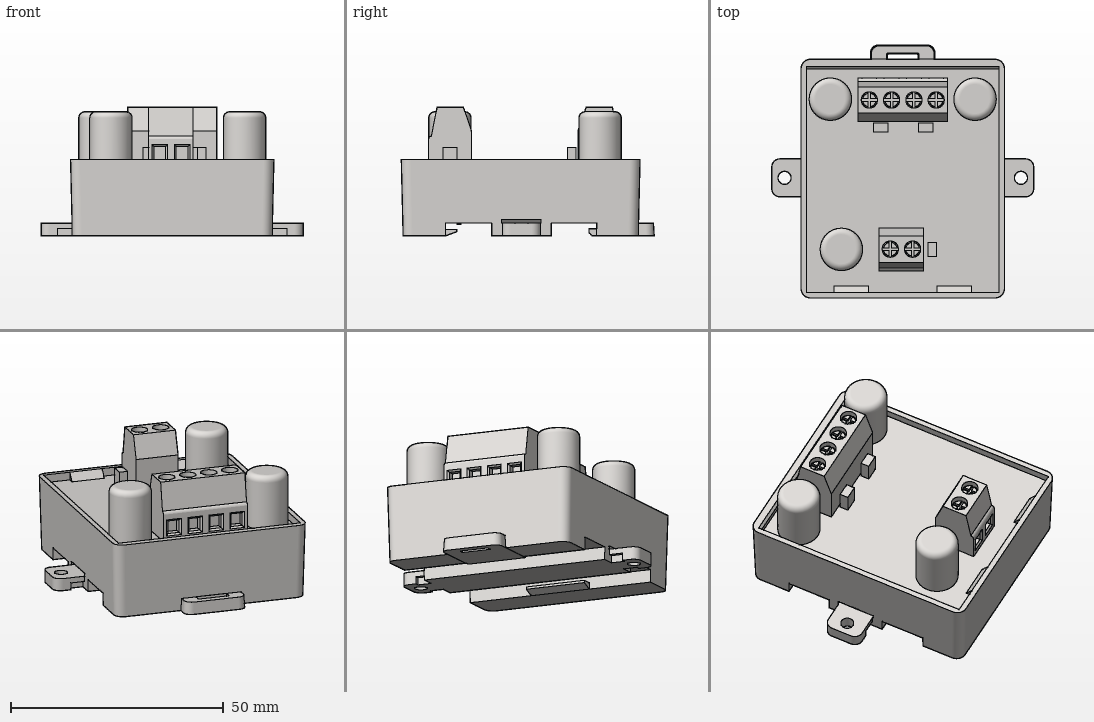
import cadquery as cq
import math

HOUSING_X = 47.0
HOUSING_Y = 55.3
HOUSING_H = 18.0
HOUSING_Y_MID = -0.2
WALL_FLARE = 0.45
CORNER_R = 2.3

RIM_WALL = 1.3
RIM_WALL_REAR = 1.7
BOARD_TOP = 16.1
BOARD_T = 1.6
REAR_BEVEL = 0.6
LUG_X = 8.1
LUG_REACH = 1.55
LUG_OFFSET = 12.1

FOOT_H = 3.0
RAIL_FRONT = -17.8
RAIL_REAR = 17.7
KEEL_HALF_Y = 7.0
HOOK_TIP_Y = -15.15
HOOK_TOP = 1.55
HOOK_NOSE = 1.0
RAIL_PAD_Y = 0.9
RAIL_PAD_H = 0.3

EAR_SPAN = 61.6
EAR_Y = 9.0
EAR_CORNER_R = 2.0
EAR_HOLE_D = 3.0
EAR_HOLE_X = 27.8
EAR_UNDERCUT_X = 26.9
EAR_UNDERCUT_H = 1.7
EAR_UNDERCUT_DEPTH = 1.2
EAR_RELIEF_Y = 9.3
EAR_RELIEF = 0.8

CLIP_X = 15.15
CLIP_END_Y = 31.25
CLIP_CORNER_R = 1.85
CLIP_DRAFT = 0.2
CLIP_SLOT_X = 7.65
CLIP_SLOT_END_Y = 29.3
CLIP_SLOT_CORNER_R = 0.4
CLIP_TOOTH_TIP_Y = 15.85
CLIP_TOOTH_TOP = 1.7
CLIP_TOOTH_BEVEL = 0.8

CAP_D = 10.0
CAP_TOP = 29.2
CAP_FILLET = 1.5
CAP_SPOTS = [(-17.0, 18.5), (17.0, 18.5), (-14.4, -16.8)]

LAMP_LONG = 3.3
LAMP_SHORT = 2.05
LAMP_TOP = 20.8
LAMP_SPOTS = [(-5.2, 11.8, 0), (5.4, 11.8, 0), (6.9, -16.8, 90)]

POLE_PITCH = 5.25
TERMINAL_Y = 10.15
TERMINAL_TOP = 30.25
BACK_SLOPE_Y = 1.9
BACK_SLOPE_FOOT = 24.7
FRONT_SLOPE_Y = 1.3
LIP = 0.75
LIP_BULGE = 0.155
LIP_FOOT = 22.7
SCREW_D = 3.8
SCREW_RECESS = 1.2
SCREW_BEVEL = 0.3
SCREW_SLOT_W = 0.6
SCREW_SLOT_DEPTH = 0.6
ENTRY_X = 3.65
ENTRY_TOP = 21.45
ENTRY_H = 4.0
ENTRY_STEP = 0.45
ENTRY_DEPTH = 2.05
REAR_TERMINAL = (4, 0.0, 18.35, 180)
FRONT_TERMINAL = (2, -0.3, -16.8, 0)

WALL_LEAN = math.degrees(math.atan(WALL_FLARE / HOUSING_H))
CLIP_LEAN = math.degrees(math.atan(CLIP_DRAFT / FOOT_H))
RIM_X = HOUSING_X + 2 * WALL_FLARE
RIM_Y = HOUSING_Y + 2 * WALL_FLARE
TRAY_X = RIM_X - 2 * RIM_WALL
TRAY_FRONT = HOUSING_Y_MID - RIM_Y / 2 + RIM_WALL
TRAY_REAR = HOUSING_Y_MID + RIM_Y / 2 - RIM_WALL_REAR - REAR_BEVEL
BOARD_BOTTOM = BOARD_TOP - BOARD_T


def box(x0, x1, y0, y1, z0, z1):
    return cq.Workplane("XY").box(x1 - x0, y1 - y0, z1 - z0, centered=False).translate((x0, y0, z0))


def prism_x(points, width, x_mid=0.0):
    """Prism along X, centred on x_mid, from a (y, z) outline."""
    return cq.Workplane("YZ").polyline(points).close().extrude(width / 2, both=True).translate((x_mid, 0, 0))


def housing_block():
    block = (
        cq.Workplane("XY", origin=(0, HOUSING_Y_MID, HOUSING_H))
        .rect(RIM_X, RIM_Y)
        .extrude(-HOUSING_H, taper=WALL_LEAN)
    )
    return block.edges("not(<Z or >Z)").fillet(CORNER_R)


def tray_cut():
    """Straight-sided recess with a bevel along its rear edge."""
    tray = box(-TRAY_X / 2, TRAY_X / 2, TRAY_FRONT, TRAY_REAR, BOARD_BOTTOM, HOUSING_H)
    bevel = prism_x(
        [
            (TRAY_REAR, HOUSING_H - REAR_BEVEL),
            (TRAY_REAR + REAR_BEVEL, HOUSING_H),
            (TRAY_REAR, HOUSING_H),
        ],
        TRAY_X,
    )
    return tray.union(bevel)


def retaining_lug(x_mid):
    return prism_x(
        [(TRAY_FRONT, BOARD_TOP), (TRAY_FRONT + LUG_REACH, BOARD_TOP), (TRAY_FRONT, HOUSING_H)],
        LUG_X,
        x_mid,
    )


def rail_cuts():
    front = box(-RIM_X, RIM_X, RAIL_FRONT, -KEEL_HALF_Y, 0, FOOT_H)
    rear = box(-RIM_X, RIM_X, KEEL_HALF_Y, RAIL_REAR, 0, FOOT_H)
    return front.union(rear)


def rail_hook():
    return prism_x(
        [(RAIL_FRONT, 0), (HOOK_TIP_Y, HOOK_NOSE), (HOOK_TIP_Y, HOOK_TOP), (RAIL_FRONT, HOOK_TOP)],
        CLIP_X,
    )


def rail_pad():
    """Low rib on the seat, just past the hook tip."""
    return box(-CLIP_X / 2, CLIP_X / 2, HOOK_TIP_Y, HOOK_TIP_Y + RAIL_PAD_Y, FOOT_H - RAIL_PAD_H, FOOT_H)


def ears():
    """Both ears as one bar through the keel."""
    bar = (
        cq.Workplane("XY")
        .rect(EAR_SPAN, EAR_Y)
        .extrude(FOOT_H)
        .edges("|Z")
        .fillet(EAR_CORNER_R)
    )
    holes = (
        cq.Workplane("XY")
        .pushPoints([(-EAR_HOLE_X, 0), (EAR_HOLE_X, 0)])
        .circle(EAR_HOLE_D / 2)
        .extrude(FOOT_H)
    )
    core = EAR_Y / 2 - EAR_UNDERCUT_DEPTH
    for y0, y1 in [(-EAR_Y / 2, -core), (core, EAR_Y / 2)]:
        bar = bar.cut(box(-EAR_UNDERCUT_X, EAR_UNDERCUT_X, y0, y1, 0, EAR_UNDERCUT_H))
    return bar.cut(holes)


def ear_relief(side):
    """Bevel undercutting the side wall just above an ear."""
    wall = side * (HOUSING_X / 2 + WALL_FLARE * FOOT_H / HOUSING_H)
    outside = side * RIM_X / 2
    inside = wall - side * EAR_RELIEF
    wedge = cq.Workplane("XZ").polyline(
        [
            (inside, FOOT_H),
            (wall, FOOT_H + EAR_RELIEF),
            (outside, FOOT_H + EAR_RELIEF),
            (outside, FOOT_H),
        ]
    )
    return wedge.close().extrude(EAR_RELIEF_Y / 2, both=True)


def clip_plate():
    """Drafted plate with rounded outer corners and a square inner end at the rail."""
    plate = (
        cq.Workplane("XY")
        .rect(CLIP_X, 2 * CLIP_END_Y)
        .extrude(FOOT_H, taper=CLIP_LEAN)
        .faces(">Y")
        .edges("not(<Z or >Z)")
        .fillet(CLIP_CORNER_R)
    )
    return plate.cut(box(-CLIP_X, CLIP_X, -CLIP_END_Y, RAIL_REAR, 0, FOOT_H))


def clip_slot():
    """Drafted slot from the housing wall out to the grip bar."""
    slot_start = HOUSING_Y_MID + HOUSING_Y / 2
    slot_length = CLIP_SLOT_END_Y - slot_start
    slot = (
        cq.Workplane("XY", origin=(0, slot_start + slot_length / 2, FOOT_H))
        .rect(CLIP_SLOT_X, slot_length)
        .extrude(-FOOT_H, taper=CLIP_LEAN)
    )
    return slot.edges("not(<Z or >Z)").edges(">Y").fillet(CLIP_SLOT_CORNER_R)


def make_clip():
    """Sliding rail clip: flat plate, pull loop outside, tooth under the rail edge."""
    tooth = prism_x(
        [
            (RAIL_REAR, 0),
            (CLIP_TOOTH_TIP_Y + CLIP_TOOTH_BEVEL, 0),
            (CLIP_TOOTH_TIP_Y, CLIP_TOOTH_BEVEL),
            (CLIP_TOOTH_TIP_Y, CLIP_TOOTH_TOP),
            (RAIL_REAR, CLIP_TOOTH_TOP),
        ],
        CLIP_X - 2 * CLIP_DRAFT,
    )
    return clip_plate().union(tooth).cut(clip_slot())


def make_housing():
    housing = housing_block().cut(tray_cut()).cut(rail_cuts()).cut(clip_plate())
    keel = box(-HOUSING_X / 2, HOUSING_X / 2, -KEEL_HALF_Y, KEEL_HALF_Y, 0, FOOT_H)
    for side in (-1, 1):
        housing = housing.cut(ear_relief(side))
        housing = housing.union(retaining_lug(side * LUG_OFFSET))
    return housing.union(ears()).union(keel).union(rail_hook()).union(rail_pad())


def capacitor(x, y):
    return (
        cq.Workplane("XY", origin=(x, y, BOARD_TOP))
        .circle(CAP_D / 2)
        .extrude(CAP_TOP - BOARD_TOP)
        .faces(">Z")
        .edges()
        .fillet(CAP_FILLET)
    )


def lamp(x, y, turn):
    body = box(-LAMP_LONG / 2, LAMP_LONG / 2, -LAMP_SHORT / 2, LAMP_SHORT / 2, BOARD_TOP, LAMP_TOP)
    return body.rotate((0, 0, 0), (0, 0, 1), turn).translate((x, y, 0))


def wire_entry(x, front):
    """Stepped rectangular opening: shallow funnel mouth, then a straight pocket."""
    z_mid = ENTRY_TOP - ENTRY_H / 2
    inner_x = ENTRY_X - 2 * ENTRY_STEP
    inner_h = ENTRY_H - 2 * ENTRY_STEP
    mouth = (
        cq.Workplane("XZ", origin=(x, front, z_mid))
        .rect(ENTRY_X, ENTRY_H)
        .workplane(offset=-ENTRY_STEP)
        .rect(inner_x, inner_h)
        .loft()
    )
    pocket = cq.Workplane("XZ", origin=(x, front, z_mid)).rect(inner_x, inner_h).extrude(-ENTRY_DEPTH)
    return mouth.union(pocket)


def disc(x, y, z, height):
    return cq.Workplane("XY", origin=(x, y, z)).circle(SCREW_D / 2).extrude(height)


def screw_recess(x, y):
    """Round well over a bevelled screw head with a cross slot."""
    head_top = TERMINAL_TOP - SCREW_RECESS
    head_bottom = head_top - SCREW_SLOT_DEPTH
    head = disc(x, y, head_bottom, SCREW_SLOT_DEPTH).faces(">Z").chamfer(SCREW_BEVEL)
    for length_x, length_y in [(SCREW_SLOT_W, SCREW_D), (SCREW_D, SCREW_SLOT_W)]:
        slot = cq.Workplane("XY", origin=(x, y, head_bottom)).rect(length_x, length_y)
        head = head.cut(slot.extrude(SCREW_SLOT_DEPTH))
    return disc(x, y, head_bottom, SCREW_RECESS + SCREW_SLOT_DEPTH).cut(head)


def terminal(poles, x, y, turn):
    """Screw terminal block with its wire entries facing -Y before it is turned."""
    front = -TERMINAL_Y / 2
    back = TERMINAL_Y / 2
    top_front = front + LIP + FRONT_SLOPE_Y
    top_back = back - BACK_SLOPE_Y
    lip_bend = LIP / 2 - LIP_BULGE * math.sqrt(0.5)
    width = poles * POLE_PITCH
    block = (
        cq.Workplane("YZ")
        .moveTo(front, BOARD_TOP)
        .lineTo(front, LIP_FOOT)
        .threePointArc((front + lip_bend, LIP_FOOT + LIP - lip_bend), (front + LIP, LIP_FOOT + LIP))
        .lineTo(top_front, TERMINAL_TOP)
        .lineTo(top_back, TERMINAL_TOP)
        .lineTo(back, BACK_SLOPE_FOOT)
        .lineTo(back, BOARD_TOP)
        .close()
        .extrude(width / 2, both=True)
    )
    screw_y = (top_front + top_back) / 2
    for pole in range(poles):
        pole_x = (pole - (poles - 1) / 2) * POLE_PITCH
        block = block.cut(wire_entry(pole_x, front)).cut(screw_recess(pole_x, screw_y))
    return block.rotate((0, 0, 0), (0, 0, 1), turn).translate((x, y, 0))


def make_board():
    """Board with all its components, filling the tray under the lugs."""
    board = box(-TRAY_X / 2, TRAY_X / 2, TRAY_FRONT, TRAY_REAR, BOARD_BOTTOM, BOARD_TOP)
    for x, y in CAP_SPOTS:
        board = board.union(capacitor(x, y))
    for x, y, turn in LAMP_SPOTS:
        board = board.union(lamp(x, y, turn))
    for poles, x, y, turn in (REAR_TERMINAL, FRONT_TERMINAL):
        board = board.union(terminal(poles, x, y, turn))
    return board


housing = make_housing()
board = make_board()
clip = make_clip()

bodies = [solid for body in (housing, board, clip) for solid in body.solids().vals()]
result = cq.Compound.makeCompound(bodies)